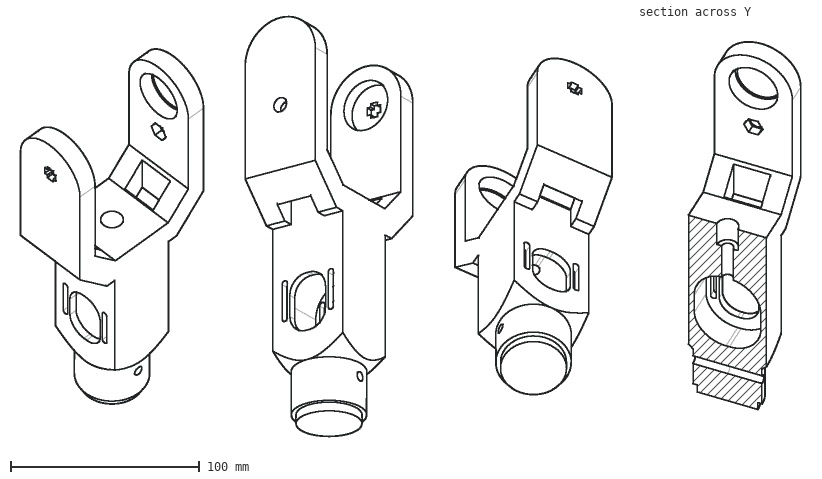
import cadquery as cq
height = 217.5
width = 45.0
fork_span = 91.8
arm_thickness = 11.3

spigot_diameter = 35.0
spigot_height = 5.0
neck_diameter = 40.0
neck_top = 30.0
cross_hole_diameter = 5.2
cross_hole_z = 22.5

yoke_floor_z = 125.0
yoke_bottom_z = 110.0
outer_shoulder = 20.0
inner_shoulder = 15.0
front_opening_width = 23.0
rear_opening_width = 21.3
shoulder_opening_reach = 12.8

window_width = 22.8
window_height = 33.0
window_corner = 10.5
window_z = 63.5
wall_thickness = 4.5
chamber_margin = 7.6
slot_width = 3.3
slot_length = 23.3
slot_x = 14.8
slot_z = 67.0

bolt_diameter = 6.5
bolt_head_diameter = 12.0
bolt_head_depth = 15.0

pocket_diameter = 28.0
pocket_depth = 8.5
pocket_step_diameter = 26
pocket_step_depth = 0.5
drive_wall_thickness = 3.7
cross_size = 8.3
cross_arm_width = 4.4
nut_corner_diameter = 10.9
nut_depth = 5.0
nut_hole_diameter = 8.0
nut_below_pivot = 27.6

column_depth = neck_diameter
half_span = fork_span / 2
arm_inner_y = half_span - arm_thickness
pivot_z = height - width / 2


def disc_along_y(diameter, y_start, length, z):
    """Cylinder on the X = 0 plane, running from y_start towards +Y."""
    plane = cq.Workplane("XZ", origin=(0, y_start, z))
    return plane.circle(diameter / 2).extrude(-length)


def rounded_block(size_x, size_y, size_z, corner, z):
    """Block centred on the Z axis whose edges along Y are rounded."""
    block = cq.Workplane("XY").box(size_x, size_y, size_z).edges("|Y").fillet(corner)
    return block.translate((0, 0, z))


def base():
    spigot = cq.Workplane("XY").circle(spigot_diameter / 2).extrude(spigot_height)
    neck = cq.Workplane("XY", origin=(0, 0, spigot_height))
    return spigot.union(neck.circle(neck_diameter / 2).extrude(neck_top - spigot_height))


def column():
    """Rectangular column whose foot is turned to a 45 degree cone that meets the neck."""
    column_height = yoke_floor_z - neck_top
    block = cq.Workplane("XY", origin=(0, 0, neck_top)).rect(width, column_depth).extrude(column_height)
    cone_rise = width / 2
    neck_radius = neck_diameter / 2
    envelope = (
        cq.Workplane("XZ")
        .moveTo(0, neck_top)
        .lineTo(neck_radius, neck_top)
        .lineTo(neck_radius + cone_rise, neck_top + cone_rise)
        .lineTo(neck_radius + cone_rise, yoke_floor_z)
        .lineTo(0, yoke_floor_z)
        .close()
        .revolve(360, (0, 0, 0), (0, 1, 0))
    )
    return block.intersect(envelope)


def fork():
    """Two arms on a yoke with chamfered shoulders, rounded about the pivot axis."""
    half_outline = [
        (half_span - outer_shoulder, yoke_bottom_z),
        (half_span, yoke_bottom_z + outer_shoulder),
        (half_span, height),
        (arm_inner_y, height),
        (arm_inner_y, yoke_floor_z + inner_shoulder),
        (arm_inner_y - inner_shoulder, yoke_floor_z),
    ]
    mirrored = [(-y, z) for y, z in reversed(half_outline)]
    body = cq.Workplane("YZ").polyline(half_outline + mirrored).close().extrude(width / 2, both=True)
    straight = cq.Workplane("XY").box(width, fork_span, pivot_z, centered=(True, True, False))
    return body.intersect(straight.union(disc_along_y(width, -half_span, fork_span, pivot_z)))


def shoulder_opening(opening_width, side):
    """Vertical rectangular opening through one shoulder, flush with the column face."""
    centre_y = side * (column_depth + shoulder_opening_reach) / 2
    opening = cq.Workplane("XY", origin=(0, centre_y, yoke_bottom_z))
    return opening.rect(opening_width, shoulder_opening_reach).extrude(height - yoke_bottom_z)


def column_openings():
    """Rounded window, inner chamber and two side slots, all passing along Y."""
    window = rounded_block(window_width, column_depth, window_height, window_corner, window_z)
    chamber = rounded_block(
        window_width + 2 * chamber_margin,
        column_depth - 2 * wall_thickness,
        window_height + 2 * chamber_margin,
        window_corner + chamber_margin,
        window_z,
    )
    slots = (
        cq.Workplane("XZ", origin=(0, 0, slot_z))
        .pushPoints([(slot_x, 0), (-slot_x, 0)])
        .slot2D(slot_length, slot_width, 90)
        .extrude(column_depth / 2, both=True)
    )
    return window.union(chamber).union(slots)


def bolt_hole():
    """Counterbored hole from the yoke floor down into the chamber."""
    top = cq.Workplane("XY", origin=(0, 0, yoke_floor_z))
    shank = top.circle(bolt_diameter / 2).extrude(window_z - yoke_floor_z)
    return shank.union(top.circle(bolt_head_diameter / 2).extrude(-bolt_head_depth))


def pivot_pocket():
    """Round pocket in the inner face of the +Y arm, with a slightly deeper centre."""
    pocket = disc_along_y(pocket_diameter, arm_inner_y, pocket_depth, pivot_z)
    return pocket.union(
        disc_along_y(pocket_step_diameter, arm_inner_y, pocket_depth + pocket_step_depth, pivot_z)
    )


def drive_socket():
    """Cross-shaped opening through the -Y arm, which is thinned around it by a round pocket."""
    pocket_length = arm_thickness - drive_wall_thickness
    pocket = disc_along_y(pocket_diameter, drive_wall_thickness - half_span, pocket_length, pivot_z)
    bar = cq.Workplane("XY").box(cross_size, arm_thickness, cross_arm_width)
    post = cq.Workplane("XY").box(cross_arm_width, arm_thickness, cross_size)
    cross = bar.union(post).translate((0, arm_thickness / 2 - half_span, pivot_z))
    return pocket.union(cross)


def nut_trap():
    """Hexagonal pocket and screw hole through the +Y arm below the pivot."""
    nut_z = pivot_z - nut_below_pivot
    face = cq.Workplane("XZ", origin=(0, arm_inner_y, nut_z))
    trap = face.polygon(6, nut_corner_diameter).extrude(-nut_depth)
    return trap.union(disc_along_y(nut_hole_diameter, arm_inner_y, arm_thickness, nut_z))


def cross_hole():
    """Hole along X through the neck."""
    plane = cq.Workplane("YZ", origin=(0, 0, cross_hole_z))
    return plane.circle(cross_hole_diameter / 2).extrude(width / 2, both=True)


cutters = [
    shoulder_opening(front_opening_width, -1),
    shoulder_opening(rear_opening_width, 1),
    column_openings(),
    bolt_hole(),
    cross_hole(),
    pivot_pocket(),
    drive_socket(),
    nut_trap(),
]

result = base().union(column()).union(fork())
for cutter in cutters:
    result = result.cut(cutter)